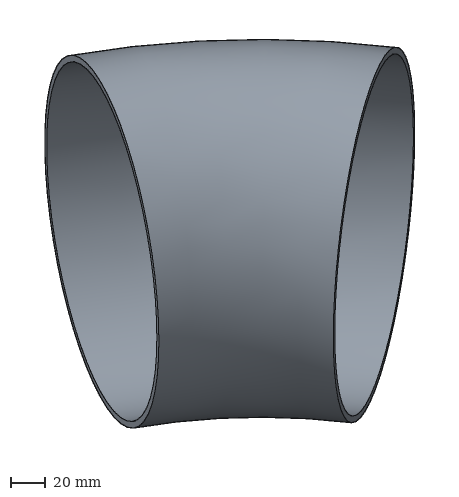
import cadquery as cq
import math

overall_width = 245.3
bend_radius = 305.0
bend_angle = 30.0
wall = 4.0

bend_cos = math.cos(math.radians(bend_angle))
outer_radius = (overall_width - bend_radius * (1 - bend_cos)) / (1 + bend_cos)
inner_radius = outer_radius - wall

pipe_section = cq.Workplane("XZ").circle(outer_radius).circle(inner_radius)

result = pipe_section.revolve(bend_angle, (bend_radius, 0, 0), (bend_radius, -1, 0))